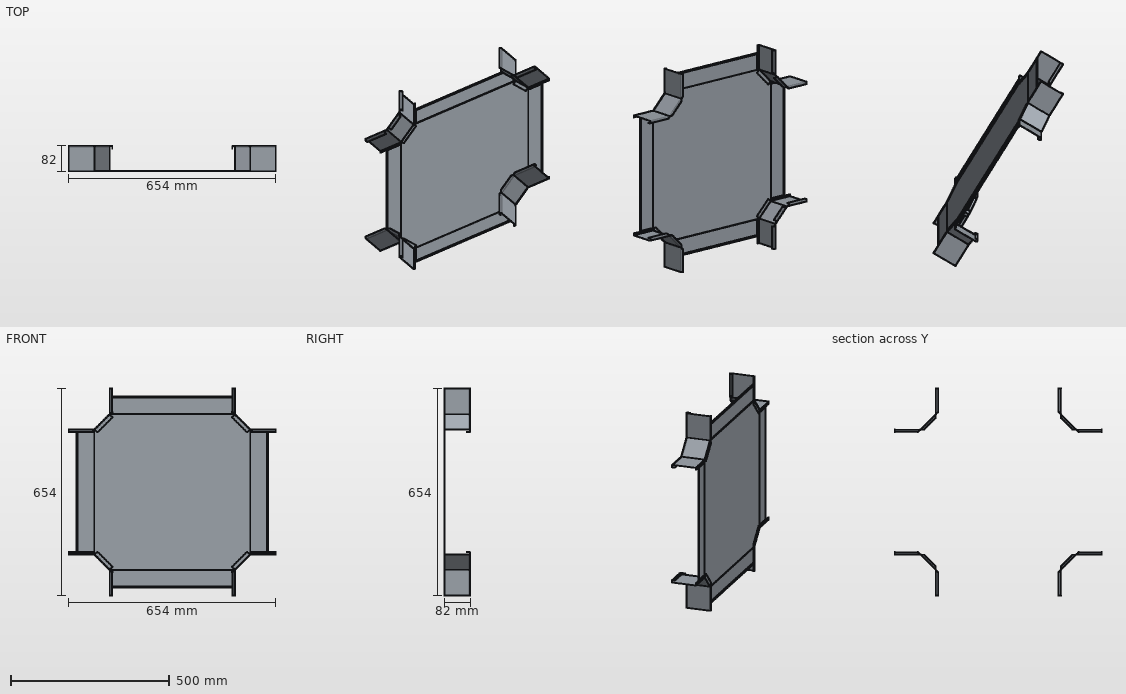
import cadquery as cq
import math

span = 654.0
depth = 82.0
sheet = 1.0
bend_radius = 4.0
half_span = span / 2

arm_offset = 198.0
corner_offset = 246.0
arm_flange = 7.0
diagonal_flange = 14.0
hook_width = 9.0
lip_length = 10.5

fold_offset = corner_offset
tongue_end = 303.0
tongue_half_width = 189.0
rim_width = 4.0
tongue_corner = 5.0

half_root = 0.5 ** 0.5


def flat(points, y_low, y_high):
    """Flat piece with an outline of (x, z) points, from y_low to y_high."""
    height = y_high - y_low
    return cq.Workplane("XZ", origin=(0, y_low, 0)).polyline(points).close().extrude(-height)


def wall_line(inset):
    """Bracket wall line, moved from the outer face towards the tray centre by inset."""
    shift = inset * math.tan(math.radians(22.5))
    along = corner_offset - shift
    across = arm_offset - inset
    return [(across, half_span), (across, along), (along, across), (half_span, across)]


def folded_sheet(start, inward, length, flange):
    """Wall with a bottom flange and a hooked top, extruded from start, an (x, z) point.

    inward is the (x, z) direction from the wall to the tray centre.
    """
    origin = (start[0], 0, start[1])
    across = cq.Vector(inward[0], 0, inward[1])
    plane = cq.Plane(origin=origin, xDir=across, normal=across.cross(cq.Vector(0, 1, 0)))
    inner_radius = bend_radius - sheet
    bend_height = depth - bend_radius
    arc = bend_radius * half_root
    inner_arc = inner_radius * half_root
    lip_bend = hook_width - bend_radius
    lip_end = depth - lip_length
    return (
        cq.Workplane(plane)
        .moveTo(0, 0)
        .lineTo(0, bend_height)
        .threePointArc((bend_radius - arc, bend_height + arc), (bend_radius, depth))
        .lineTo(lip_bend, depth)
        .threePointArc((lip_bend + arc, bend_height + arc), (hook_width, bend_height))
        .lineTo(hook_width, lip_end)
        .lineTo(hook_width - sheet, lip_end)
        .lineTo(hook_width - sheet, bend_height)
        .threePointArc((lip_bend + inner_arc, bend_height + inner_arc), (lip_bend, depth - sheet))
        .lineTo(bend_radius, depth - sheet)
        .threePointArc((bend_radius - inner_arc, bend_height + inner_arc), (sheet, bend_height))
        .lineTo(sheet, sheet)
        .lineTo(flange, sheet)
        .lineTo(flange, 0)
        .close()
        .extrude(length)
    )


def end_relief(end, inward, along, y_low):
    """Wedge that cuts a folded sheet's inside at 45 degrees, from y_low up.

    end is the sheet's end at its outer face, along points from there into the sheet.
    """
    reach = hook_width - sheet

    def at(across, length):
        return tuple(end[i] + inward[i] * across + along[i] * length for i in range(2))

    return flat([at(sheet, 0), at(hook_width, 0), at(hook_width, reach)], y_low, depth)


def bracket_arm():
    """Arm along Z, its flange and hook cut at 45 degrees next to the corner."""
    inward = (-1, 0)
    arm = folded_sheet((arm_offset, half_span), inward, half_span - corner_offset, arm_flange)
    return arm.cut(end_relief((arm_offset, corner_offset), inward, (0, 1), 0))


def bracket_diagonal():
    """Wall at 45 degrees with a rectangular flange, its hook cut at 45 degrees at both ends."""
    length = (corner_offset - arm_offset) / half_root
    inward = (-half_root, -half_root)
    diagonal = folded_sheet((arm_offset, corner_offset), inward, length, diagonal_flange)
    hook_bottom = depth - lip_length
    upper = end_relief((arm_offset, corner_offset), inward, (half_root, -half_root), hook_bottom)
    lower = end_relief((corner_offset, arm_offset), inward, (-half_root, half_root), hook_bottom)
    return diagonal.cut(upper).cut(lower)


def corner_bracket():
    """Bracket for the +X +Z corner."""
    arm = bracket_arm()
    other_arm = arm.mirror(cq.Vector(1, 0, -1))
    wall = flat(wall_line(0) + wall_line(sheet)[::-1], 0, depth - bend_radius)
    return wall.union(arm).union(other_arm).union(bracket_diagonal())


def tongue():
    """Tongue at the +Z side, stepped down from the octagon, with a rim stepped back up at its end."""
    root_half_width = tongue_half_width + tongue_corner
    corner_end = fold_offset + tongue_corner
    rim_start = tongue_end - rim_width
    outline = [
        (-root_half_width, fold_offset),
        (root_half_width, fold_offset),
        (tongue_half_width, corner_end),
        (tongue_half_width, rim_start),
        (-tongue_half_width, rim_start),
        (-tongue_half_width, corner_end),
    ]

    def layer_strip(half_width, z_low, z_high):
        corners = [(-half_width, z_low), (half_width, z_low), (half_width, z_high), (-half_width, z_high)]
        return flat(corners, sheet, 2 * sheet)

    step = layer_strip(root_half_width - sheet, arm_offset, fold_offset + sheet)
    rim = layer_strip(tongue_half_width, rim_start - sheet, tongue_end)
    return flat(outline, 0, sheet).union(step).union(rim)


def quarter_turned(body, turns):
    return body.rotate((0, 0, 0), (0, 1, 0), 90 * turns)


def base_plate():
    """Octagon lying on the bracket flanges, with a tongue on each long side."""
    near, far = wall_line(sheet)[2][::-1]
    octagon = [
        (near, far), (far, near), (far, -near), (near, -far),
        (-near, -far), (-far, -near), (-far, near), (-near, far),
    ]
    plate = flat(octagon, sheet, 2 * sheet)
    for side in range(4):
        plate = plate.union(quarter_turned(tongue(), side))
    return plate


plate = base_plate()
brackets = [quarter_turned(corner_bracket(), corner) for corner in range(4)]
result = cq.Compound.makeCompound([plate.val(), *[bracket.val() for bracket in brackets]])